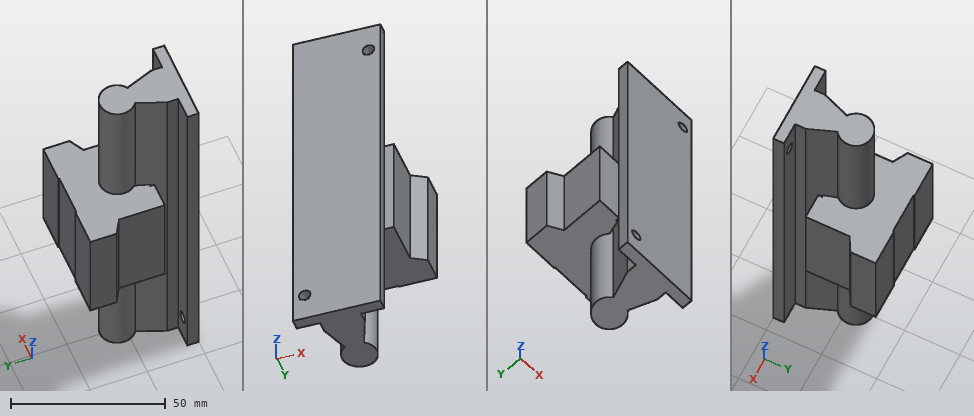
import cadquery as cq
import math

rail_length = 120.0
overall_depth = 40.0
mounting_face_y = -overall_depth / 2
carriage_top_y = overall_depth / 2

base_width = 30.0
base_thickness = 4.0
neck_width = 14.0
neck_height = 7.8
shaft_radius = 6.0
shaft_center_y = mounting_face_y + 22.5
neck_joint_half_width = 3.4

hole_diameter = 4.0
hole_offset_x = 10.9
hole_offset_z = 50.0

carriage_length = 36.0
flange_width = 41.0
flange_thickness = 9.1
body_width = 30.8
body_start_depth = 12.0
carriage_depth = 28.0
relief_width = 14.8
relief_depth = 0.4

bearing_radius = 11.0
sleeve_opening_half_width = 4.3
sleeve_mouth_half_width = 5.9
body_opening_half_width = 6.4


def depth_below_shaft(radius, half_width):
    """Distance below the shaft axis of a circle point at the given half width."""
    return math.sqrt(radius**2 - half_width**2)


def prism(sketch, length):
    """Extrude a closed XY outline by half the length to each side of Z = 0."""
    return sketch.extrude(length / 2, both=True)


def mirrored_outline(right_points):
    """Close an outline given by its right-hand points, mirrored about X = 0."""
    left_points = [(-x, y) for x, y in reversed(right_points)]
    return cq.Workplane("XY").polyline(right_points + left_points).close()


def cylinder(radius, length):
    """Cylinder on the shaft axis."""
    return prism(cq.Workplane("XY").center(0, shaft_center_y).circle(radius), length)


def make_rail():
    base_top_y = mounting_face_y + base_thickness
    neck_top_y = mounting_face_y + neck_height
    neck_joint_y = shaft_center_y - depth_below_shaft(shaft_radius, neck_joint_half_width)
    support_points = [
        (base_width / 2, mounting_face_y),
        (base_width / 2, base_top_y),
        (neck_width / 2, base_top_y),
        (neck_width / 2, neck_top_y),
        (neck_joint_half_width, neck_joint_y),
        (neck_joint_half_width, shaft_center_y),
    ]
    support = prism(mirrored_outline(support_points), rail_length)
    rail = support.union(cylinder(shaft_radius, rail_length))

    hole_centers = [(hole_offset_x, hole_offset_z), (-hole_offset_x, -hole_offset_z)]
    holes = (
        cq.Workplane("XZ", origin=(0, mounting_face_y, 0))
        .pushPoints(hole_centers)
        .circle(hole_diameter / 2)
        .extrude(-base_thickness)
    )
    return rail.cut(holes)


def make_carriage_body():
    body_bottom_y = carriage_top_y - carriage_depth
    relief_y = carriage_top_y - relief_depth
    body_points = [
        (body_width / 2, body_bottom_y),
        (body_width / 2, carriage_top_y - body_start_depth),
        (flange_width / 2, carriage_top_y - flange_thickness),
        (flange_width / 2, carriage_top_y),
        (relief_width / 2, carriage_top_y),
        (relief_width / 2, relief_y),
    ]
    body = prism(mirrored_outline(body_points), carriage_length)

    opening_points = [
        (body_opening_half_width, body_bottom_y),
        (body_opening_half_width, shaft_center_y),
    ]
    opening = prism(mirrored_outline(opening_points), carriage_length)
    return body.cut(cylinder(bearing_radius, carriage_length)).cut(opening)


def make_bearing_sleeve():
    inner_y = shaft_center_y - depth_below_shaft(shaft_radius, sleeve_opening_half_width)
    mouth_y = shaft_center_y - depth_below_shaft(bearing_radius, sleeve_mouth_half_width)
    slope = (sleeve_mouth_half_width - sleeve_opening_half_width) / (inner_y - mouth_y)
    outer_y = shaft_center_y - bearing_radius
    outer_half_width = sleeve_opening_half_width + slope * (inner_y - outer_y)
    opening_points = [
        (outer_half_width, outer_y),
        (sleeve_opening_half_width, inner_y),
        (sleeve_opening_half_width, shaft_center_y),
    ]
    opening = prism(mirrored_outline(opening_points), carriage_length)
    ring = cylinder(bearing_radius, carriage_length).cut(cylinder(shaft_radius, carriage_length))
    return ring.cut(opening)


carriage = make_carriage_body().union(make_bearing_sleeve(), clean=False)
result = make_rail().union(carriage, clean=False)